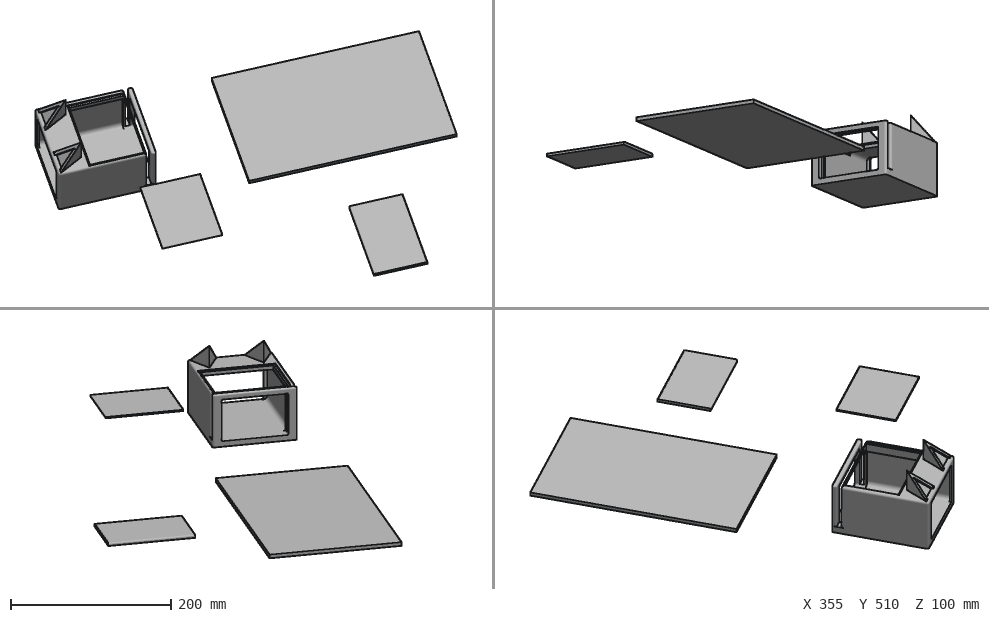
import cadquery as cq
import math

HOUSING_WIDTH = 109.0
HOUSING_DEPTH = 127.0
HOUSING_HEIGHT = 70.5
OUTER_RADIUS = 3.0
REAR_TOP_RADIUS = 2.0
FLOOR = 7.5
ROOF = 7.0
FRONT_WALL = 2.5
WINDOW_TOP = HOUSING_HEIGHT - ROOF

CAVITY_WIDTH = 96.0
CAVITY_RADIUS = 6.0
WINDOW_WIDTH = 86.0
WINDOW_RADIUS = 2.0
SLOT_WIDTH = 5.5
SLOT_FLOOR = 9.0
REAR_WALL = 6.5
INNER_JAMB = 3.0
SLOT_REAR = HOUSING_DEPTH - REAR_WALL
SLOT_FRONT = SLOT_REAR - SLOT_WIDTH
CAVITY_REAR = SLOT_FRONT - INNER_JAMB

ROOF_FRONT = 41.0
REBATE_RIGHT = 51.5
REBATE_DEPTH = 2.0
SIDE_LEDGE = 3.0
FRONT_LEDGE = 1.5
REAR_BAR = 1.0

EAR_HEIGHT = 29.5
EAR_WIDTH = 34.0
EAR_DEPTH = 31.0
EAR_FRONT = 3.5
EAR_OFFSET = 35.0
EAR_RECESS_SCALE = 0.7
EAR_RECESS_DEPTH = 1.8

PLATE_WIDTH = 170.5
PLATE_DEPTH = 270.0
PLATE_THICKNESS = 5.0
PLATE_LEFT = -90.5
PLATE_REAR = 510

DOOR_WIDTH = 112
DOOR_HEIGHT = 70.0
DOOR_THICKNESS = 4.0
DOOR_RADIUS = 2.0
DOOR_RIGHT = 264.5
DOOR_FRONT = 349.5

LID_WIDTH = 100.0
LID_DEPTH = 78.0
LID_THICKNESS = 2.0
LID_RADIUS = 1.5
LID_LEFT = 103.5
LID_FRONT = 92
LID_BOTTOM = HOUSING_HEIGHT

OVERCUT = 5


def block(x0, x1, y0, y1, z0, z1):
    """Box given by its limits along each axis."""
    return cq.Workplane("XY").box(x1 - x0, y1 - y0, z1 - z0, centered=False).translate((x0, y0, z0))


def centred_block(width, y0, y1, z0, z1):
    """Box centred on X = 0."""
    return block(-width / 2, width / 2, y0, y1, z0, z1)


def make_shell():
    """Rounded box, split at the top by the door slot that crosses both side walls."""
    shell = centred_block(HOUSING_WIDTH, 0, HOUSING_DEPTH, 0, HOUSING_HEIGHT)
    slot = centred_block(
        HOUSING_WIDTH + 2 * OVERCUT, SLOT_FRONT, SLOT_REAR, SLOT_FLOOR, HOUSING_HEIGHT + OVERCUT
    )
    shell = shell.cut(slot).edges("|Z").fillet(OUTER_RADIUS)
    shell = shell.faces(">Z").faces("<Y").edges().fillet(OUTER_RADIUS)
    return shell.faces(">Z").faces(">Y").edges().fillet(REAR_TOP_RADIUS)


def cut_cavity(shell):
    """Inner space with its long edges rounded."""
    cavity = centred_block(CAVITY_WIDTH, FRONT_WALL, CAVITY_REAR, FLOOR, WINDOW_TOP)
    cavity = cavity.edges("|Y").fillet(CAVITY_RADIUS)
    return shell.cut(cavity)


def cut_windows(shell):
    """One straight passage through the front wall, the inner frame and the rear wall."""
    passage = centred_block(WINDOW_WIDTH, -OVERCUT, HOUSING_DEPTH + OVERCUT, FLOOR, WINDOW_TOP)
    return shell.cut(passage.edges("|Y").fillet(WINDOW_RADIUS))


def cut_roof(shell):
    """Rebate for the lid, open to the slot, and the opening inside its ledges."""
    above = HOUSING_HEIGHT + OVERCUT
    rebate_left = REBATE_RIGHT - LID_WIDTH
    rebate = block(
        rebate_left, REBATE_RIGHT, ROOF_FRONT, SLOT_FRONT, HOUSING_HEIGHT - REBATE_DEPTH, above
    )
    opening = block(
        rebate_left + SIDE_LEDGE, REBATE_RIGHT - SIDE_LEDGE,
        ROOF_FRONT + FRONT_LEDGE, SLOT_FRONT - REAR_BAR,
        WINDOW_TOP - CAVITY_RADIUS, above,
    )
    return shell.cut(rebate).cut(opening)


def tetrahedron(width, depth, height):
    """Upright rear edge, sloping front; the front base edge lies on Y = 0."""
    left = cq.Vector(-width / 2, 0, 0)
    right = cq.Vector(width / 2, 0, 0)
    rear = cq.Vector(0, depth, 0)
    apex = cq.Vector(0, depth, height)
    corners = [(left, right, rear), (left, right, apex), (left, rear, apex), (right, rear, apex)]
    faces = [cq.Face.makeFromWires(cq.Wire.makePolygon(c, close=True)) for c in corners]
    return cq.Workplane(cq.Solid.makeSolid(cq.Shell.makeShell(faces)))


def make_ear(x):
    """Ear standing on the roof, with a shallow triangular recess in its slope."""
    ear = tetrahedron(EAR_WIDTH, EAR_DEPTH, EAR_HEIGHT)
    slope_length = math.hypot(EAR_DEPTH, EAR_HEIGHT)
    half_base = EAR_RECESS_SCALE * EAR_WIDTH / 2
    slope = cq.Plane(origin=(0, 0, 0), xDir=(1, 0, 0), normal=(0, -EAR_HEIGHT, EAR_DEPTH))
    recess = (
        cq.Workplane(slope)
        .polyline([(-half_base, 0), (half_base, 0), (0, EAR_RECESS_SCALE * slope_length)])
        .close()
        .extrude(-EAR_RECESS_DEPTH)
    )
    return ear.cut(recess).translate((x, EAR_FRONT, HOUSING_HEIGHT))


def make_housing():
    housing = cut_roof(cut_windows(cut_cavity(make_shell())))
    for side in (-1, 1):
        housing = housing.union(make_ear(side * EAR_OFFSET))
    return housing


def make_plate():
    return block(
        PLATE_LEFT, PLATE_LEFT + PLATE_WIDTH, PLATE_REAR - PLATE_DEPTH, PLATE_REAR, 0, PLATE_THICKNESS
    )


def make_door():
    door = block(
        DOOR_RIGHT - DOOR_WIDTH, DOOR_RIGHT, DOOR_FRONT, DOOR_FRONT + DOOR_HEIGHT, 0, DOOR_THICKNESS
    )
    return door.edges(">Z and |X").fillet(DOOR_RADIUS)


def make_lid():
    lid = block(
        LID_LEFT, LID_LEFT + LID_WIDTH, LID_FRONT, LID_FRONT + LID_DEPTH,
        LID_BOTTOM, LID_BOTTOM + LID_THICKNESS,
    )
    return lid.edges(">Z and >X").fillet(LID_RADIUS)


housing = make_housing()
plate = make_plate()
door = make_door()
lid = make_lid()

result = cq.Compound.makeCompound([housing.val(), plate.val(), door.val(), lid.val()])